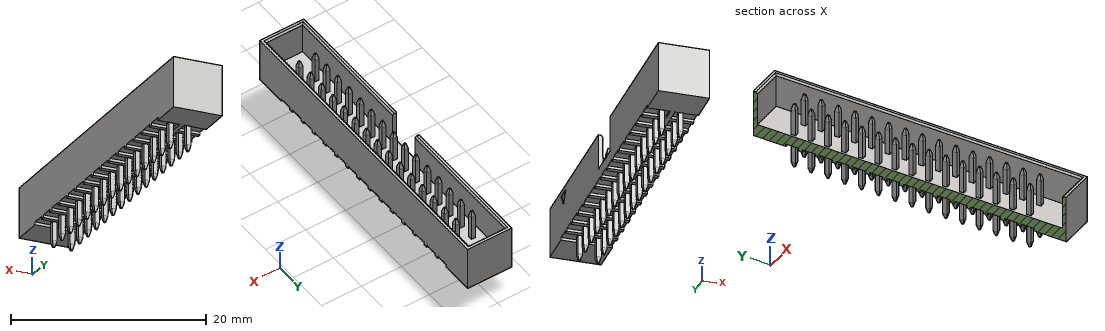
import cadquery as cq
import math

LENGTH = 37.2
WIDTH = 5.5
TOTAL_HEIGHT = 8.1
BODY_HEIGHT = 5.6
FLOOR_THICKNESS = 1.6
RIM_WIDTH = 0.3
RIM_CHAMFER = 0.2
WALL_THICKNESS = RIM_WIDTH + RIM_CHAMFER

PIN_ROWS = 2
PINS_PER_ROW = 15
ROW_SPAN = 28.0
PIN_PITCH = ROW_SPAN / (PINS_PER_ROW - 1)
PIN_SIDE = 0.52
PIN_TIP_SIDE = 0.2
PIN_TAPER_LENGTH = 0.65
PIN_TOP_RECESS = 0.3

NOTCH_WIDTH = 3.98

SLOT_SIDE = 1.5
SLOT_DEPTH = 0.3

MARK_SIDE = 1.5
MARK_HEIGHT = 1.23
MARK_TOP_OFFSET = 0.55
MARK_DEPTH = 0.07

PIN_BOTTOM = BODY_HEIGHT - TOTAL_HEIGHT
PIN_TOP = BODY_HEIGHT - PIN_TOP_RECESS
ROW_XS = [(i - (PIN_ROWS - 1) / 2) * PIN_PITCH for i in range(PIN_ROWS)]
PIN_YS = [(i - (PINS_PER_ROW - 1) / 2) * PIN_PITCH for i in range(PINS_PER_ROW)]


def upright_box(size_x, size_y, bottom, top):
    """Box centred on the Z axis between two heights."""
    return cq.Workplane("XY").workplane(offset=bottom).rect(size_x, size_y).extrude(top - bottom)


def make_shroud():
    """Open-topped box with a chamfered inner rim."""
    cavity = upright_box(
        WIDTH - 2 * WALL_THICKNESS, LENGTH - 2 * WALL_THICKNESS, FLOOR_THICKNESS, BODY_HEIGHT
    )
    shroud = upright_box(WIDTH, LENGTH, 0, BODY_HEIGHT).cut(cavity)
    return shroud.faces(">Z").wires(cq.selectors.AreaNthSelector(0)).chamfer(RIM_CHAMFER)


def make_notch():
    """Cutter through the -X wall, from the floor to the rim."""
    notch = upright_box(2 * WALL_THICKNESS, NOTCH_WIDTH, FLOOR_THICKNESS, BODY_HEIGHT)
    return notch.translate((-WIDTH / 2, 0, 0))


def make_mark():
    """Triangular cutter in the -X face, pointing down at the first pin."""
    flat_edge_z = BODY_HEIGHT - MARK_TOP_OFFSET
    first_pin_y = PIN_YS[-1]
    outline = [
        (first_pin_y - MARK_SIDE / 2, flat_edge_z),
        (first_pin_y + MARK_SIDE / 2, flat_edge_z),
        (first_pin_y, flat_edge_z - MARK_HEIGHT),
    ]
    return cq.Workplane("YZ", origin=(-WIDTH / 2, 0, 0)).polyline(outline).close().extrude(MARK_DEPTH)


def make_slots(row_x):
    """One row of standoff slots running from just past the pins out to the nearest long side."""
    side = math.copysign(1, row_x)
    outer_x = side * WIDTH / 2
    inner_x = row_x - side * SLOT_SIDE / 2
    slot_centers = [((outer_x + inner_x) / 2, pin_y) for pin_y in PIN_YS]
    slot_outlines = cq.Workplane("XY").pushPoints(slot_centers).rect(abs(outer_x - inner_x), SLOT_SIDE)
    return slot_outlines.extrude(SLOT_DEPTH)


def make_pin():
    """Square pin with both ends tapered to a small flat tip."""
    pin = upright_box(PIN_SIDE, PIN_SIDE, PIN_BOTTOM + PIN_TAPER_LENGTH, PIN_TOP - PIN_TAPER_LENGTH)
    for end in (">Z", "<Z"):
        taper = (
            pin.faces(end).workplane().rect(PIN_SIDE, PIN_SIDE)
            .workplane(offset=PIN_TAPER_LENGTH).rect(PIN_TIP_SIDE, PIN_TIP_SIDE)
            .loft(combine=False)
        )
        pin = pin.union(taper)
    return pin


result = make_shroud().cut(make_notch()).cut(make_mark())
for row_x in ROW_XS:
    result = result.cut(make_slots(row_x))

pin = make_pin().val()
pin_places = [cq.Location(cq.Vector(row_x, pin_y, 0)) for row_x in ROW_XS for pin_y in PIN_YS]
all_pins = cq.Compound.makeCompound([pin.moved(place) for place in pin_places])
result = result.union(cq.Workplane(all_pins))
result = cq.Workplane(result.solids().val())